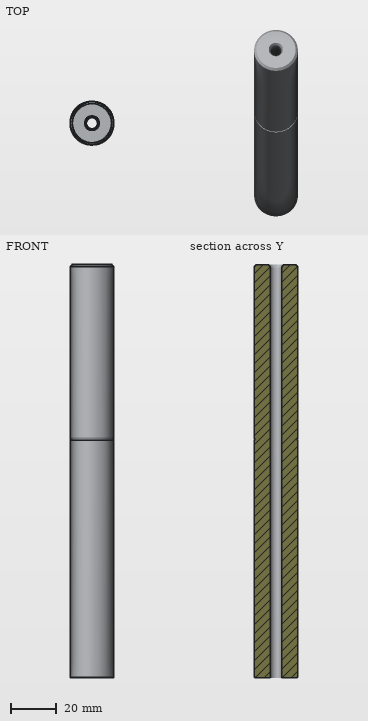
import cadquery as cq
import math

rod_length = 180.0
rod_bottom = -rod_length / 2
rod_top = rod_length / 2

upper_radius = 19.05 / 2
upper_length = 76.5
top_chamfer = 1.0
foot_height = 1.0
foot_taper = math.radians(15.0)
foot_radius = upper_radius - foot_height * math.tan(foot_taper)

lower_radius = 19.02 / 2
lower_length = rod_length - upper_length
bottom_chamfer = 0.3
joint_height = rod_bottom + lower_length

hole_radius = 4.9 / 2
mouth_radius = 6.3 / 2
countersink_half_angle = math.radians(30.0)
countersink_depth = (mouth_radius - hole_radius) / math.tan(countersink_half_angle)


def turned(profile):
    """Spin a list of (radius, height) points around the Z axis."""
    return cq.Workplane("XZ").polyline(profile).close().revolve(360, (0, 0), (0, 1))


def rod_body():
    """Lower and upper lengths as one turned bar."""
    return turned([
        (0, rod_bottom),
        (lower_radius - bottom_chamfer, rod_bottom),
        (lower_radius, rod_bottom + bottom_chamfer),
        (lower_radius, joint_height),
        (foot_radius, joint_height),
        (upper_radius, joint_height + foot_height),
        (upper_radius, rod_top - top_chamfer),
        (upper_radius - top_chamfer, rod_top),
        (0, rod_top),
    ])


def hole_cutter():
    """Through hole with a conical countersink at the top."""
    return turned([
        (0, rod_bottom),
        (hole_radius, rod_bottom),
        (hole_radius, rod_top - countersink_depth),
        (mouth_radius, rod_top),
        (0, rod_top),
    ])


result = rod_body().cut(hole_cutter())